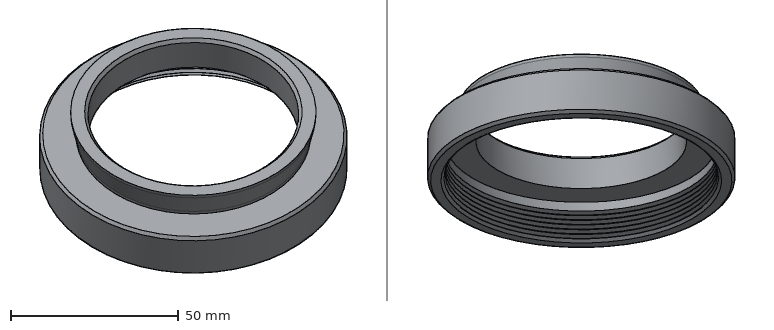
import cadquery as cq

flange_diameter = 92.0
flange_height = 15.0
flange_chamfer = 0.9

total_height = 24.0
neck_diameter = 70.4
rim_diameter = 73.4
neck_height = 1.0
rim_height = 1.0

bore_diameter = 63.0
bore_chamfer = 1.0

recess_diameter = 81.5
recess_depth = 13.0
groove_diameter = 84.0
thread_pitch = 1.6
groove_count = 6
first_groove_height = 1.5
groove_root_width = 0.1
groove_mouth_width = 1.5


def revolve_profile(points):
    """Turn a closed (radius, height) outline around the Z axis."""
    outline = cq.Workplane("XZ").polyline(points).close()
    return outline.revolve(360, (0, 0, 0), (0, 1, 0))


def ring_body():
    flange_radius = flange_diameter / 2
    neck_radius = neck_diameter / 2
    rim_radius = rim_diameter / 2
    bore_radius = bore_diameter / 2
    recess_radius = recess_diameter / 2
    entry_radius = groove_diameter / 2
    entry_chamfer = entry_radius - recess_radius
    return revolve_profile([
        (recess_radius, entry_chamfer),
        (entry_radius, 0),
        (flange_radius - flange_chamfer, 0),
        (flange_radius, flange_chamfer),
        (flange_radius, flange_height - flange_chamfer),
        (flange_radius - flange_chamfer, flange_height),
        (neck_radius, flange_height),
        (neck_radius, flange_height + neck_height),
        (rim_radius, total_height - rim_height),
        (rim_radius, total_height),
        (bore_radius + bore_chamfer, total_height),
        (bore_radius, total_height - bore_chamfer),
        (bore_radius, recess_depth),
        (recess_radius, recess_depth),
    ])


def thread_groove(height):
    """Ring with a tapered cross section, centred at the given height."""
    mouth_radius = recess_diameter / 2
    root_radius = groove_diameter / 2
    return revolve_profile([
        (mouth_radius, height - groove_mouth_width / 2),
        (root_radius, height - groove_root_width / 2),
        (root_radius, height + groove_root_width / 2),
        (mouth_radius, height + groove_mouth_width / 2),
    ])


result = ring_body()
for index in range(groove_count):
    result = result.cut(thread_groove(first_groove_height + index * thread_pitch))